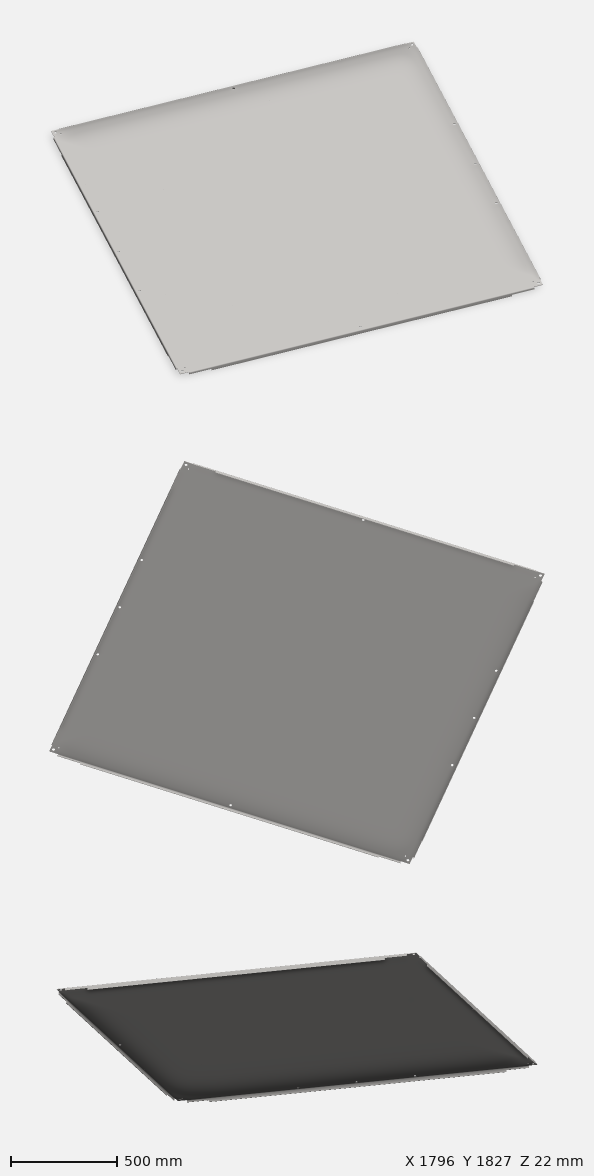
import cadquery as cq

width = 1796.0
length = 1827.0
height = 22.0
sheet = 3.0

bend_radius = 5.1
corner_relief = 50.0
shallow_run = 111.0
shallow_depth = 13.0

side_hole_diameter = 13.0
side_hole_inset = 20.0
side_hole_pitch = 290.0
outer_corner_diameter = 13.7
outer_corner_inset_x = 22.0
outer_corner_inset_y = 20.0
inner_corner_diameter = 7.0
inner_corner_inset = 40.0


def flat_sheet():
    """Flat top between the bends; its corners stay as flat tabs between the flanges."""
    flat_x = width - 2 * bend_radius
    flat_y = length - 2 * bend_radius
    return cq.Workplane("XY").rect(flat_x, flat_y).extrude(-sheet)


def flange(side_length, side_distance):
    """Flange folded down from the +Y side of a flat sheet, along the X axis."""
    bend_start = side_distance - bend_radius
    inner_face = side_distance - sheet
    half_span = side_length / 2 - corner_relief
    profile = (
        cq.Workplane("YZ")
        .moveTo(bend_start, 0)
        .radiusArc((side_distance, -bend_radius), bend_radius)
        .lineTo(side_distance, -height)
        .lineTo(inner_face, -height)
        .lineTo(inner_face, -bend_radius)
        .radiusArc((bend_start, -sheet), -(bend_radius - sheet))
        .close()
    )
    full_depth_flange = profile.extrude(half_span, both=True)
    step_cut_width = 4 * sheet
    step_centre = half_span - shallow_run / 2
    steps = (
        cq.Workplane("XY", origin=(0, side_distance, -height))
        .pushPoints([(-step_centre, 0), (step_centre, 0)])
        .rect(shallow_run, step_cut_width)
        .extrude(height - shallow_depth)
    )
    return full_depth_flange.cut(steps)


def corner_points(inset_x, inset_y):
    """One point near each corner, measured in from the outer sides."""
    return [
        (x_sign * (width / 2 - inset_x), y_sign * (length / 2 - inset_y))
        for x_sign in (-1, 1)
        for y_sign in (-1, 1)
    ]


def side_points():
    """One point in the middle of each X side and three along each Y side."""
    x_side = width / 2 - side_hole_inset
    y_side = length / 2 - side_hole_inset
    points = [(-x_side, 0), (x_side, 0)]
    for column in (-1, 0, 1):
        points.append((column * side_hole_pitch, -y_side))
        points.append((column * side_hole_pitch, y_side))
    return points


def holes(diameter, points):
    """Cutters for round holes through the sheet."""
    return cq.Workplane("XY").pushPoints(points).circle(diameter / 2).extrude(-sheet)


result = flat_sheet()
y_flange = flange(width, length / 2)
x_flange = flange(length, width / 2).rotate((0, 0, 0), (0, 0, 1), 90)
for turn in (0, 180):
    result = result.union(y_flange.rotate((0, 0, 0), (0, 0, 1), turn))
    result = result.union(x_flange.rotate((0, 0, 0), (0, 0, 1), turn))

result = result.cut(holes(side_hole_diameter, side_points()))
result = result.cut(
    holes(outer_corner_diameter, corner_points(outer_corner_inset_x, outer_corner_inset_y))
)
result = result.cut(holes(inner_corner_diameter, corner_points(inner_corner_inset, inner_corner_inset)))